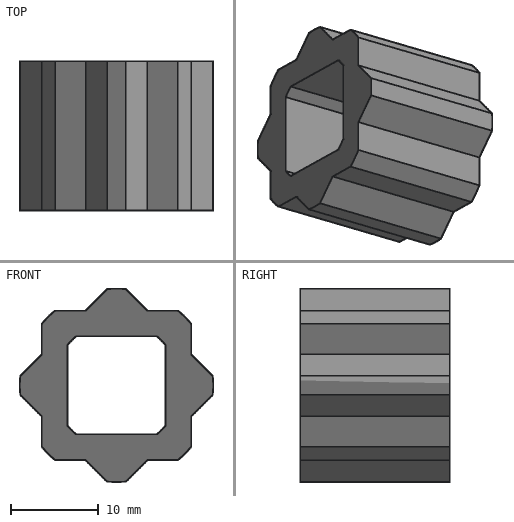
import cadquery as cq

length = 17.0
square_side = 17.0
outer_diameter = 22.0
bore_side = 11.1
bore_diameter = 14.4
point_turn = 45.0


def square_bar(side):
    """Square bar along Y, centred on the origin."""
    return cq.Workplane("XY").box(side, length, side)


def round_bar(diameter):
    """Round bar along Y, centred on the origin."""
    return cq.Workplane("XZ").circle(diameter / 2).extrude(length / 2, both=True)


def star_body():
    """Two crossed square bars with their points turned down to a cylinder."""
    upright = square_bar(square_side)
    turned = upright.rotate((0, 0, 0), (0, 1, 0), point_turn)
    return upright.union(turned).intersect(round_bar(outer_diameter))


def square_bore():
    """Square through bore with cylindrical corner reliefs."""
    return square_bar(bore_side).intersect(round_bar(bore_diameter))


result = star_body().cut(square_bore())